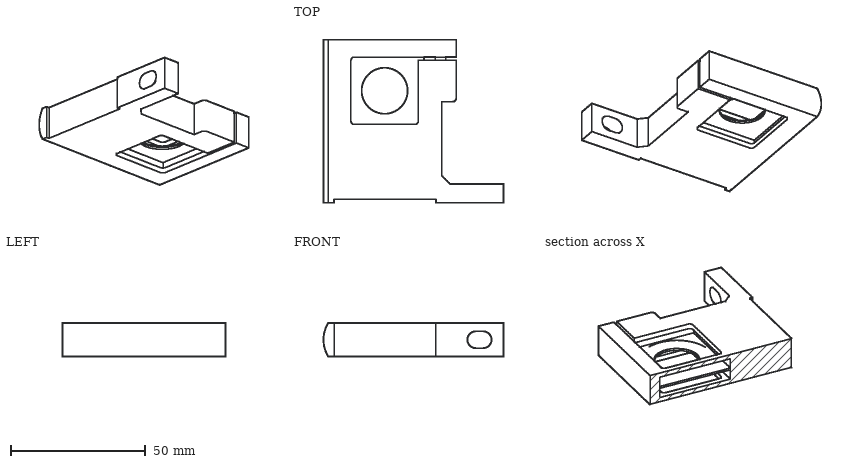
import cadquery as cq
import math

LENGTH_X = 66.75
LENGTH_Y = 60.5
THICKNESS = 12.5
MID_Z = THICKNESS / 2

BULGE_DEPTH = 1.8

ARM_END_X = 49.3
WAIST_X = 43.85
JAW_BOTTOM_Y = 37.45
JAW_CORNER_RADIUS = 1.35
FOOT_HEIGHT = 7.1
FOOT_CHAMFER = 3.0

RECESS_START_X = 4.0
RECESS_END_X = 41.65
RECESS_DEPTH = 1.3

SLOT_LENGTH = 8.9
SLOT_HEIGHT = 6.15
SLOT_CENTER_X = 57.8

WINDOW_SIZE = 25.0
WINDOW_LEFT_X = 10.2
WINDOW_TOP_Y = 54.0
WINDOW_CORNER_RADIUS = 1.35
WINDOW_CENTER = (WINDOW_LEFT_X + WINDOW_SIZE / 2, WINDOW_TOP_Y - WINDOW_SIZE / 2)

LIP_THICKNESS = 2.0
LIP_WIDTH = 2.15
POCKET_SIZE = WINDOW_SIZE + 2 * LIP_WIDTH

GAP_WIDTH = 1.15

BORE_RADIUS = 8.5
PLATE_THICKNESS = 1.0
PLATE_BOTTOM_Z = MID_Z - PLATE_THICKNESS / 2
PLATE_TOP_Z = PLATE_BOTTOM_Z + PLATE_THICKNESS
RING_RADIUS = 11.2
RING_TUBE_RADIUS = 3.35
RING_BLEND_RADIUS = 1.2
RING_FOOT_RADIUS = 14.35

PIN_DIAMETER = 4.0
PIN_CENTER_X = 43.4
PIN_EMBED_DEPTH = 4.0
PIN_LENGTH = GAP_WIDTH + 2 * PIN_EMBED_DEPTH


def square_prism(size, z_bottom, height):
    """Square block centred on the window."""
    return (
        cq.Workplane("XY", origin=(*WINDOW_CENTER, z_bottom))
        .rect(size, size)
        .extrude(height)
    )


def pin_cylinder():
    """Cylinder along Y that crosses the clamping gap."""
    pin_top_y = WINDOW_TOP_Y + PIN_EMBED_DEPTH
    return (
        cq.Workplane("XZ", origin=(PIN_CENTER_X, pin_top_y, MID_Z))
        .circle(PIN_DIAMETER / 2)
        .extrude(PIN_LENGTH)
    )


def frame_blank():
    """Plate with the arm, the jaw and the foot, before any opening is cut."""
    blank = (
        cq.Workplane("XY")
        .moveTo(0, 0)
        .lineTo(LENGTH_X, 0)
        .lineTo(LENGTH_X, FOOT_HEIGHT)
        .lineTo(WAIST_X + FOOT_CHAMFER, FOOT_HEIGHT)
        .lineTo(WAIST_X, FOOT_HEIGHT + FOOT_CHAMFER)
        .lineTo(WAIST_X, JAW_BOTTOM_Y)
        .lineTo(ARM_END_X - JAW_CORNER_RADIUS, JAW_BOTTOM_Y)
        .radiusArc((ARM_END_X, JAW_BOTTOM_Y + JAW_CORNER_RADIUS), -JAW_CORNER_RADIUS)
        .lineTo(ARM_END_X, LENGTH_Y)
        .lineTo(0, LENGTH_Y)
        .close()
        .extrude(THICKNESS)
    )
    rounded_profile = (
        cq.Workplane("XZ")
        .moveTo(BULGE_DEPTH, 0)
        .threePointArc((0, MID_Z), (BULGE_DEPTH, THICKNESS))
        .lineTo(LENGTH_X, THICKNESS)
        .lineTo(LENGTH_X, 0)
        .close()
        .extrude(-LENGTH_Y)
    )
    return blank.intersect(rounded_profile)


def frame_recess():
    return cq.Workplane("XY").box(
        RECESS_END_X - RECESS_START_X, RECESS_DEPTH, THICKNESS, centered=False
    ).translate((RECESS_START_X, 0, 0))


def foot_slot():
    return (
        cq.Workplane("XZ", origin=(SLOT_CENTER_X, 0, MID_Z))
        .slot2D(SLOT_LENGTH, SLOT_HEIGHT)
        .extrude(-FOOT_HEIGHT)
    )


def window():
    opening = square_prism(WINDOW_SIZE, 0, THICKNESS).edges("|Z").fillet(WINDOW_CORNER_RADIUS)
    pocket = square_prism(POCKET_SIZE, LIP_THICKNESS, THICKNESS - 2 * LIP_THICKNESS)
    return opening.union(pocket)


def clamp_gap():
    """Slit from the middle of the window out through the +X end."""
    start_x = WINDOW_CENTER[0]
    return cq.Workplane("XY").box(
        ARM_END_X - start_x, GAP_WIDTH, THICKNESS, centered=False
    ).translate((start_x, WINDOW_TOP_Y - GAP_WIDTH, 0))


def make_frame():
    frame = frame_blank()
    for opening in (frame_recess(), foot_slot(), window(), clamp_gap(), pin_cylinder()):
        frame = frame.cut(opening)
    return frame


def make_eyelet():
    """Thin square plate with a bore, and a raised round ring that blends into its top face."""
    plate = square_prism(POCKET_SIZE, PLATE_BOTTOM_Z, PLATE_THICKNESS)

    center_distance = RING_TUBE_RADIUS + RING_BLEND_RADIUS
    foot_offset = RING_FOOT_RADIUS - RING_RADIUS
    crest_slope = math.asin(foot_offset / center_distance)
    blend_center_z = PLATE_TOP_Z + RING_BLEND_RADIUS
    crest_center_z = blend_center_z - center_distance * math.cos(crest_slope)
    crest_top = (RING_RADIUS, crest_center_z + RING_TUBE_RADIUS)
    bore_offset = RING_RADIUS - BORE_RADIUS
    bore_edge = (BORE_RADIUS, crest_center_z + math.sqrt(RING_TUBE_RADIUS**2 - bore_offset**2))
    crest_end = (
        RING_RADIUS + RING_TUBE_RADIUS * math.sin(crest_slope),
        crest_center_z + RING_TUBE_RADIUS * math.cos(crest_slope),
    )
    blend_middle = (
        RING_FOOT_RADIUS - RING_BLEND_RADIUS * math.sin(crest_slope / 2),
        blend_center_z - RING_BLEND_RADIUS * math.cos(crest_slope / 2),
    )

    ring = (
        cq.Workplane("XZ", origin=(*WINDOW_CENTER, 0))
        .moveTo(BORE_RADIUS, PLATE_BOTTOM_Z)
        .lineTo(*bore_edge)
        .threePointArc(crest_top, crest_end)
        .threePointArc(blend_middle, (RING_FOOT_RADIUS, PLATE_TOP_Z))
        .lineTo(RING_FOOT_RADIUS, PLATE_BOTTOM_Z)
        .close()
        .revolve(360, (0, 0, 0), (0, 1, 0))
    )
    ring_seat = (
        cq.Workplane("XY", origin=(*WINDOW_CENTER, 0)).circle(RING_RADIUS).extrude(THICKNESS)
    )
    return plate.cut(ring_seat).union(ring)


frame = make_frame()
eyelet = make_eyelet()
clamp_pin = pin_cylinder()

result = cq.Compound.makeCompound([frame.val(), eyelet.val(), clamp_pin.val()])